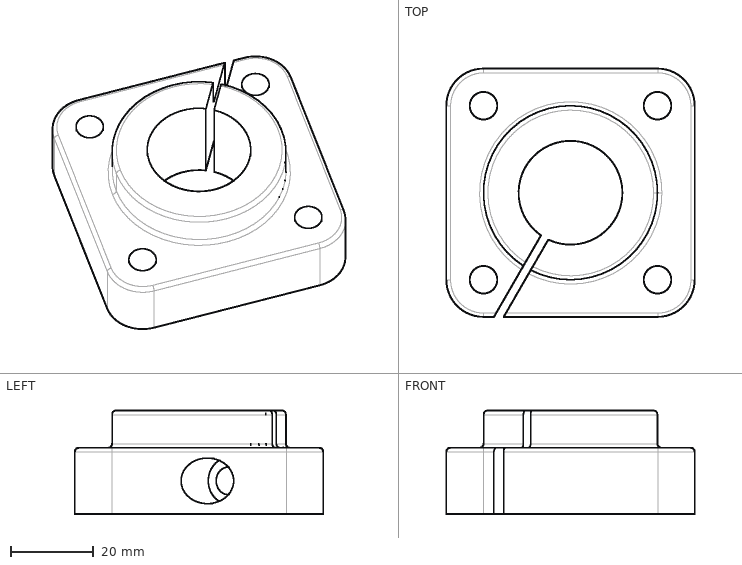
import cadquery as cq
import math

flange_side = 60.0
flange_height = 16.0
corner_radius = 9.0
flange_edge_radius = 1.0

total_height = 25.0
boss_height = total_height - flange_height
boss_diameter = 42.0
boss_top_radius = 1.0
boss_root_radius = 1.0
bore_diameter = 25.0

mount_hole_diameter = 6.6
mount_hole_pitch = flange_side - 2 * corner_radius

slit_width = 2.0
slit_angle = -120.0

screw_axis_radius = 16.75
screw_axis_height = flange_height / 2
screw_hole_diameter = 6.6
screw_head_diameter = 11.0
screw_head_seat = 15.0


def make_flange():
    return (
        cq.Workplane("XY")
        .rect(flange_side, flange_side)
        .extrude(flange_height)
        .edges("|Z")
        .fillet(corner_radius)
        .faces(">Z")
        .edges()
        .fillet(flange_edge_radius)
    )


def add_boss(body):
    boss = (
        cq.Workplane("XY", origin=(0, 0, flange_height))
        .circle(boss_diameter / 2)
        .extrude(boss_height)
        .faces(">Z")
        .edges()
        .fillet(boss_top_radius)
    )
    root_edge = cq.selectors.RadiusNthSelector(-1)
    return (
        body.union(boss)
        .faces(cq.selectors.NearestToPointSelector((0, 0, flange_height)))
        .edges("%CIRCLE")
        .edges(root_edge)
        .fillet(boss_root_radius)
    )


def cut_bore(body):
    bore = cq.Workplane("XY").circle(bore_diameter / 2).extrude(total_height)
    return body.cut(bore)


def cut_mount_holes(body):
    holes = (
        cq.Workplane("XY")
        .rect(mount_hole_pitch, mount_hole_pitch, forConstruction=True)
        .vertices()
        .circle(mount_hole_diameter / 2)
        .extrude(total_height)
    )
    return body.cut(holes)


def cut_slit(body):
    slit = (
        cq.Workplane("XY")
        .rect(flange_side, slit_width)
        .extrude(total_height)
        .translate((flange_side / 2, 0, 0))
        .rotate((0, 0, 0), (0, 0, 1), slit_angle)
    )
    return body.cut(slit)


def cut_clamp_screw_hole(body):
    slit_direction = math.radians(slit_angle)
    slit_point = (
        screw_axis_radius * math.cos(slit_direction),
        screw_axis_radius * math.sin(slit_direction),
        screw_axis_height,
    )
    outward = (math.sin(slit_direction), -math.cos(slit_direction), 0)
    screw_plane = cq.Plane(origin=slit_point, xDir=(0, 0, 1), normal=outward)

    shank_hole = cq.Workplane(screw_plane).circle(screw_hole_diameter / 2).extrude(screw_head_seat)
    head_hole = (
        cq.Workplane(screw_plane)
        .workplane(offset=screw_head_seat)
        .circle(screw_head_diameter / 2)
        .extrude(flange_side / 2)
    )
    return body.cut(shank_hole).cut(head_hole)


result = make_flange()
result = add_boss(result)
result = cut_bore(result)
result = cut_mount_holes(result)
result = cut_slit(result)
result = cut_clamp_screw_hole(result)